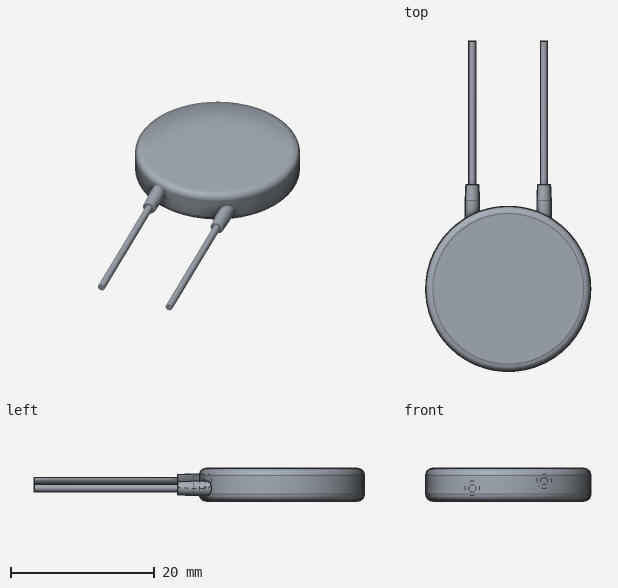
import cadquery as cq

disc_diameter = 23.0
disc_thickness = 4.6
rim_fillet = 1.0

lead_spacing = 10.0
lead_height_offset = 0.5
lead_radius = 0.5
lead_tip_y = 34.5

sleeve_root_radius = 1.0
sleeve_end_radius = 0.9
taper_start_y = 12.35
sleeve_end_y = 14.55
sleeve_end_rounding = 0.15
sleeve_embed_y = 6.9


def make_disc():
    disc = cq.Workplane("XY").circle(disc_diameter / 2).extrude(disc_thickness / 2, both=True)
    return disc.faces("|Z").edges().fillet(rim_fillet)


def make_sleeved_lead(x, z):
    """Revolve the half profile of one lead and its sleeve about the lead axis."""
    profile = (
        cq.Workplane("XY")
        .moveTo(0, sleeve_embed_y)
        .lineTo(sleeve_root_radius, sleeve_embed_y)
        .lineTo(sleeve_root_radius, taper_start_y)
        .lineTo(sleeve_end_radius, sleeve_end_y - sleeve_end_rounding)
        .radiusArc((sleeve_end_radius - sleeve_end_rounding, sleeve_end_y), -sleeve_end_rounding)
        .lineTo(lead_radius, sleeve_end_y)
        .lineTo(lead_radius, lead_tip_y)
        .lineTo(0, lead_tip_y)
        .close()
    )
    return profile.revolve(360, (0, 0, 0), (0, 1, 0)).translate((x, 0, z))


result = make_disc()
for side in (-1, 1):
    result = result.union(make_sleeved_lead(side * lead_spacing / 2, side * lead_height_offset))